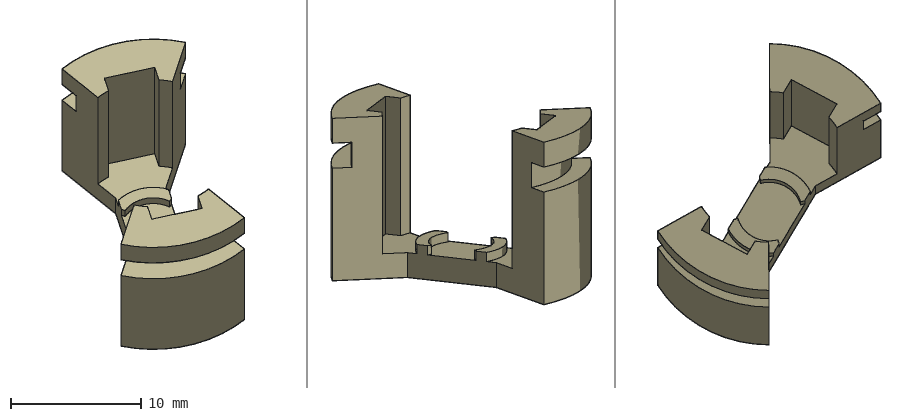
import cadquery as cq
import math

outer_radius = 10.0
clear_radius = 1.2 * outer_radius
total_height = 13.05
floor_height = 2.0
web_width = 4.0

wedge_half_angle = 30.0
wedge_apex_x = 0.2

bore_radius = 6.1
recess_half_length = 7.0

groove_bottom = 9.05
groove_height = 2.0
groove_radius = 8.48

rib_outer_radius = 3.5
rib_inner_radius = 2.5
rib_height = 0.75
rib_half_angle = 45.0


def wedge(side, apex_x, half_angle, height):
    """Triangular prism opening toward side (+1 or -1), reaching past the outer radius."""
    half_width = clear_radius * math.tan(math.radians(half_angle))
    base_x = side * (apex_x + clear_radius)
    points = [(side * apex_x, 0), (base_x, half_width), (base_x, -half_width)]
    return cq.Workplane("XY").polyline(points).close().extrude(height)


def ring(outer, inner, bottom, height):
    return cq.Workplane("XY").workplane(offset=bottom).circle(outer).circle(inner).extrude(height)


def end_wall(side):
    cylinder = cq.Workplane("XY").circle(outer_radius).extrude(total_height)
    return wedge(side, wedge_apex_x, wedge_half_angle, total_height).intersect(cylinder)


def web():
    return cq.Workplane("XY").rect(2 * bore_radius, web_width).extrude(floor_height)


def opening():
    depth = total_height - floor_height
    floor = cq.Workplane("XY").workplane(offset=floor_height)
    bore = floor.circle(bore_radius).extrude(depth)
    recess = floor.rect(2 * recess_half_length, web_width).extrude(depth)
    return bore.union(recess)


def floor_rib(side):
    top = floor_height + rib_height
    rib = ring(rib_outer_radius, rib_inner_radius, floor_height, rib_height)
    web_strip = cq.Workplane("XY").rect(2 * outer_radius, web_width).extrude(top)
    return rib.intersect(wedge(side, 0, rib_half_angle, top)).intersect(web_strip)


body = web().union(end_wall(1)).union(end_wall(-1))
body = body.cut(opening())
body = body.cut(ring(clear_radius, groove_radius, groove_bottom, groove_height))
for side in (1, -1):
    body = body.union(floor_rib(side))

result = body